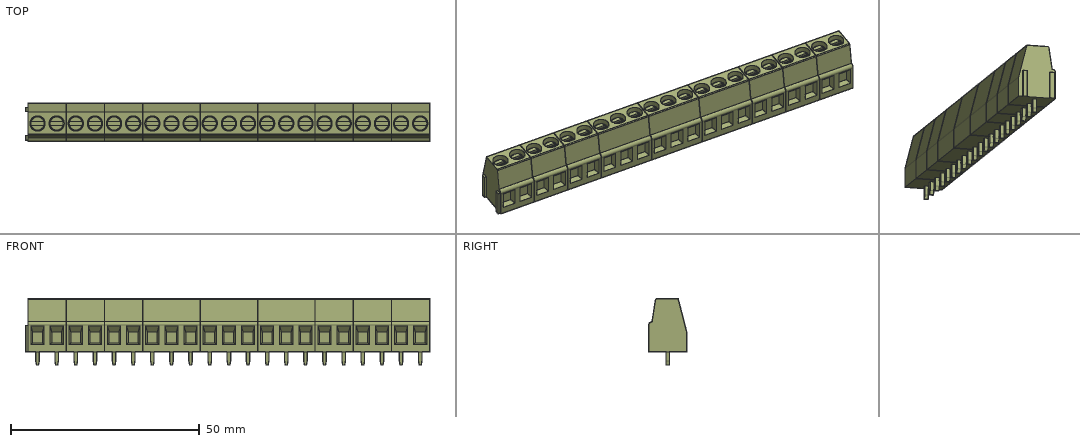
import cadquery as cq

pitch = 5.08
module_poles = [2, 2, 2, 3, 3, 3, 2, 2, 2]
pole_count = sum(module_poles)
total_length = 107.28
body_length = pole_count * pitch
rib_thickness = total_length - body_length

depth = 10.2
pin_length = 3.5
total_height = 17.6
body_height = total_height - pin_length
top_front_y = 1.8
top_front_chamfer = 0.25
top_back_y = depth - 2.3
back_slope_base_z = body_height - 8.9
shoulder_radius = 0.9
shoulder_base_z = body_height - 7.0

rib_height = body_height - 7.1
front_rib_y = (0.35, 1.65)
back_rib_y = (depth - 2.25, depth - 1.1)

seam_width = 0.1
seam_depth = 0.1

window_width = 3.5
window_bottom_z = 2.0
window_top_z = shoulder_base_z - 0.25
window_depth = 1.5
window_side_taper = 0.47
window_top_drop = 1.65
window_bottom_rise = 0.35

screw_y = 4.8
well_diameter = 4.05
well_depth = 1.25
screw_diameter = 3.5
screw_gap_depth = 0.5
slot_width = 1.0
slot_depth = 0.6

pin_y = 5.1
pin_size = 1.0
pin_tip_length = 1.1
pin_tip_inset = 0.2

pole_xs = [(index + 0.5) * pitch for index in range(pole_count)]


def section_outline(workplane):
    """Housing cross-section in the YZ plane, with a rounded front shoulder and a chamfered top edge."""
    return (
        workplane.moveTo(0, 0)
        .lineTo(0, shoulder_base_z)
        .radiusArc((shoulder_radius, shoulder_base_z + shoulder_radius), shoulder_radius)
        .lineTo(top_front_y, body_height - top_front_chamfer)
        .lineTo(top_front_y + top_front_chamfer, body_height)
        .lineTo(top_back_y, body_height)
        .lineTo(depth, back_slope_base_z)
        .lineTo(depth, 0)
        .close()
    )


def make_housing():
    return section_outline(cq.Workplane("YZ")).extrude(body_length)


def make_rib(y_range):
    y_start, y_end = y_range
    rib = cq.Workplane("XY").box(rib_thickness, y_end - y_start, rib_height, centered=False)
    return rib.translate((-rib_thickness, y_start, 0))


def make_seam(x):
    """Thin ring that cuts a shallow line around the housing section."""
    plane = cq.Workplane("YZ", origin=(x - seam_width / 2, 0, 0))
    full_slice = section_outline(plane).extrude(seam_width)
    core = section_outline(plane).offset2D(-seam_depth).extrude(seam_width)
    return full_slice.cut(core)


def make_window(x):
    """Funnel cut from the front face, with sloping sides, roof and floor."""
    opening_height = window_top_z - window_bottom_z
    inner_height = opening_height - window_top_drop - window_bottom_rise
    return (
        cq.Workplane("XZ", origin=(x, 0, window_bottom_z))
        .center(0, opening_height / 2)
        .rect(window_width, opening_height)
        .workplane(offset=-window_depth)
        .center(0, (window_bottom_rise - window_top_drop) / 2)
        .rect(window_width - 2 * window_side_taper, inner_height)
        .loft(ruled=True)
    )


def make_screw_well(x):
    """Well above a screw head, with the clearance ring and the driver slot."""
    head_z = body_height - well_depth
    head = cq.Workplane("XY", origin=(x, screw_y, head_z))
    well = head.circle(well_diameter / 2).extrude(well_depth)
    gap = head.circle(well_diameter / 2).circle(screw_diameter / 2).extrude(-screw_gap_depth)
    slot_block = head.rect(screw_diameter, slot_width).extrude(-slot_depth)
    slot = slot_block.intersect(head.circle(screw_diameter / 2).extrude(-slot_depth))
    return well.union(gap).union(slot)


def make_pin(x):
    """Square pin whose tip narrows along X only, like a wedge."""
    half_size = pin_size / 2
    half_tip = half_size - pin_tip_inset
    tip_start_z = pin_tip_length - pin_length
    return (
        cq.Workplane("XZ", origin=(x, pin_y + half_size, 0))
        .moveTo(-half_size, 0)
        .lineTo(-half_size, tip_start_z)
        .lineTo(-half_tip, -pin_length)
        .lineTo(half_tip, -pin_length)
        .lineTo(half_size, tip_start_z)
        .lineTo(half_size, 0)
        .close()
        .extrude(pin_size)
    )


def seam_positions():
    positions = []
    poles_so_far = 0
    for poles in module_poles[:-1]:
        poles_so_far += poles
        positions.append(poles_so_far * pitch)
    return positions


result = make_housing()
for rib_range in (front_rib_y, back_rib_y):
    result = result.union(make_rib(rib_range))
for seam_x in seam_positions():
    result = result.cut(make_seam(seam_x))
for pole_x in pole_xs:
    result = result.cut(make_window(pole_x)).cut(make_screw_well(pole_x))
for pole_x in pole_xs:
    result = result.union(make_pin(pole_x))